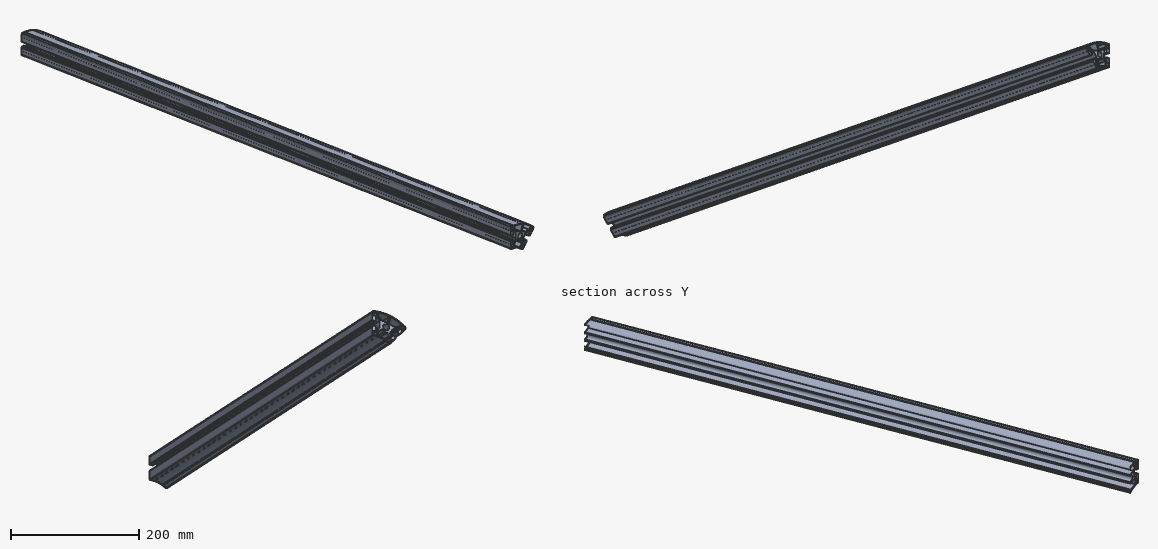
import cadquery as cq
import math

length = 1000.0
inner_radius = 40.0
outer_radius = 80.0
sector_angle = 45.0
corner_radius = 3.0
wall = 1.5

slot_radius = (inner_radius + outer_radius) / 2
slot_opening = 8.0
slot_width = 20.0
slot_floor_width = 10.0
lip_thickness = 6.0
lip_chamfer = 1.5
slot_side_depth = 8.5
slot_depth = 12.5

bore_diameter = 10.0
core_outer_radius = 67.0
core_inner_radius = 51.5

chamber_depth = 9.5
divider_thickness = 2.5
outer_chamber_corner = (chamber_depth, 72.0)
outer_chamber_bend = (15.0, 66.0)
inner_chamber_corner = (chamber_depth, 48.0)
inner_chamber_bend = (15.5, 51.0)

pocket_near = 2.0
pocket_far = 7.0
pocket_slot_gap = 2.0

half_angle = math.radians(sector_angle / 2)


def polar(radius, angle):
    """Point at a radius from the sector axis, angle measured from Z towards Y."""
    return radius * math.sin(angle), radius * math.cos(angle)


def prism(points):
    return cq.Workplane("YZ").polyline(points).close().extrude(length)


def disc(radius):
    return cq.Workplane("YZ").circle(radius).extrude(length)


def on_both_faces(tool):
    """Add the reflection of a tool in the mid-plane of the sector."""
    reflected = tool.mirror("XZ").rotate((0, 0, 0), (1, 0, 0), -sector_angle)
    return tool.union(reflected)


def sector():
    full_angle = 2 * half_angle
    return (
        cq.Workplane("YZ")
        .moveTo(*polar(inner_radius, 0))
        .lineTo(*polar(outer_radius, 0))
        .threePointArc(polar(outer_radius, half_angle), polar(outer_radius, full_angle))
        .lineTo(*polar(inner_radius, full_angle))
        .threePointArc(polar(inner_radius, half_angle), polar(inner_radius, 0))
        .close()
        .extrude(length)
        .edges("|X")
        .fillet(corner_radius)
    )


def slot():
    upper_half = [
        (0, slot_opening / 2 + lip_chamfer),
        (lip_chamfer, slot_opening / 2),
        (lip_thickness, slot_opening / 2),
        (lip_thickness, slot_width / 2),
        (slot_side_depth, slot_width / 2),
        (slot_depth, slot_floor_width / 2),
    ]
    lower_half = [(depth, -offset) for depth, offset in reversed(upper_half)]
    return prism([(depth, slot_radius + offset) for depth, offset in upper_half + lower_half])


def outer_chamber():
    """Half of the space under the outer arc, beside the divider on the mid-plane."""
    shift_y = -divider_thickness / 2 * math.cos(half_angle)
    shift_z = divider_thickness / 2 * math.sin(half_angle)
    foot = polar(core_outer_radius, half_angle)
    top = polar(outer_radius, half_angle)
    outline = prism([
        (chamber_depth, outer_radius),
        outer_chamber_corner,
        outer_chamber_bend,
        (foot[0] + shift_y, foot[1] + shift_z),
        (top[0] + shift_y, top[1] + shift_z),
        (top[0] + shift_y, outer_radius),
    ])
    return outline.intersect(disc(outer_radius - wall))


def inner_chamber():
    """Half of the space above the inner arc, open to its reflection at the mid-plane."""
    outline = prism([
        inner_chamber_corner,
        inner_chamber_bend,
        polar(core_inner_radius, half_angle),
        polar(inner_radius, half_angle),
        (chamber_depth, inner_radius),
    ])
    return outline.cut(disc(inner_radius + wall))


def corner_pockets():
    """Small cavities beside the slot, next to the rounded corners."""
    def block(bottom, top):
        return prism([(pocket_near, bottom), (pocket_far, bottom), (pocket_far, top), (pocket_near, top)])

    slot_reach = slot_width / 2 + pocket_slot_gap
    outer = block(slot_radius + slot_reach, outer_radius).intersect(disc(outer_radius - wall))
    inner = block(inner_radius, slot_radius - slot_reach).cut(disc(inner_radius + wall))
    return outer.union(inner)


bore = cq.Workplane("YZ").center(*polar(slot_radius, half_angle)).circle(bore_diameter / 2).extrude(length)

result = sector().cut(bore)
for hollow in (slot(), outer_chamber(), inner_chamber(), corner_pockets()):
    result = result.cut(on_both_faces(hollow))